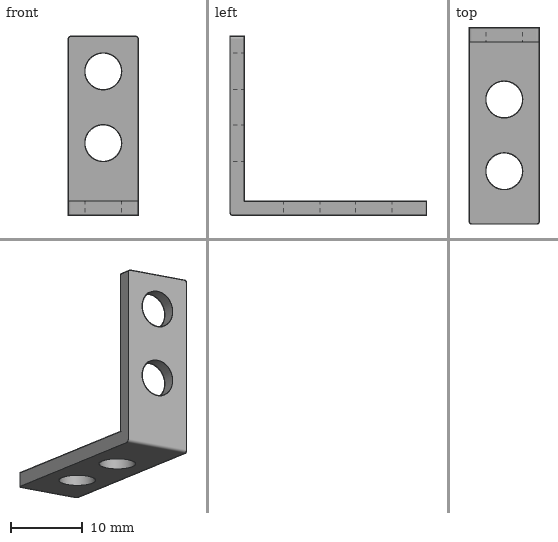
import cadquery as cq

width = 9.8
base_length = 27.4
upright_height = 25.0
thickness = 2.0

corner_radius = 0.4

hole_diameter = 5.1
hole_pitch = 10.0
base_end_to_hole = 7.37
upright_top_to_hole = width / 2


def bracket_body():
    """L profile in the YZ plane, back face at the +Y end, extruded across the width."""
    front = -base_length / 2
    back = base_length / 2
    profile = [
        (front, 0),
        (back, 0),
        (back, upright_height),
        (back - thickness, upright_height),
        (back - thickness, thickness),
        (front, thickness),
    ]
    return cq.Workplane("YZ").polyline(profile).close().extrude(width / 2, both=True)


def round_corners(body):
    """Round the outer bend and the two free corners of each leg."""
    body = body.faces("<Y").edges("|Z").fillet(corner_radius)
    body = body.faces(">Z").edges("|Y").fillet(corner_radius)
    return body.faces(">Y").edges("<Z").fillet(corner_radius)


def base_holes():
    """Vertical cylinders through the base leg."""
    first = -base_length / 2 + base_end_to_hole
    centres = [(0, first), (0, first + hole_pitch)]
    return cq.Workplane("XY").pushPoints(centres).circle(hole_diameter / 2).extrude(thickness)


def upright_holes():
    """Horizontal cylinders through the upright leg."""
    top = upright_height - upright_top_to_hole
    centres = [(0, top), (0, top - hole_pitch)]
    back_plane = cq.Workplane("XZ", origin=(0, base_length / 2, 0))
    return back_plane.pushPoints(centres).circle(hole_diameter / 2).extrude(thickness)


result = round_corners(bracket_body()).cut(base_holes()).cut(upright_holes())